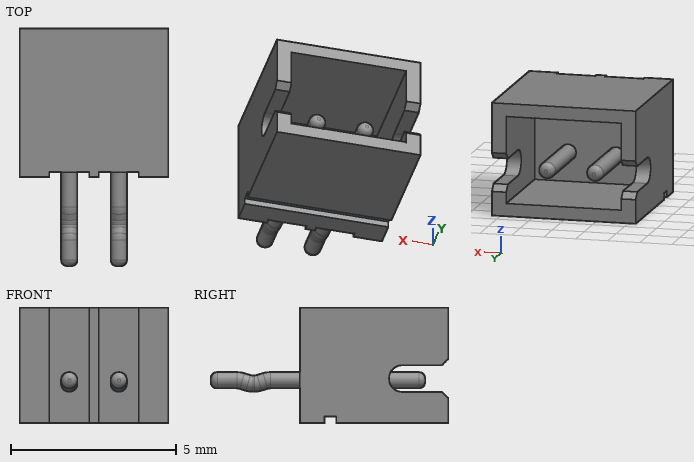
import cadquery as cq
import math


housing_width = 4.5
housing_depth = 4.5
housing_height = 3.5

side_wall = 0.45
floor_wall = 0.4
cavity_depth = 3.4

slot_height = 0.8
slot_depth = 1.8
slot_center_z = 1.35
slot_bevel = 0.2

recess_width = 1.2
recess_depth = 0.15

groove_width = 0.35
groove_depth = 0.2

pin_pitch = 1.5
pin_count = 2
pin_diameter = 0.5
pin_center_z = 1.3
pin_mouth_setback = 0.7
pin_tail_length = 2.7
pin_tip_radius = 0.2

kink_start = 0.9
kink_drop = 0.1
kink_flat = 0.05
kink_radius = 0.5
kink_angle = math.radians(17)

arc_run = kink_radius * math.sin(kink_angle)
arc_drop = kink_radius * (1 - math.cos(kink_angle))
half_arc_run = kink_radius * math.sin(kink_angle / 2)
half_arc_drop = kink_radius * (1 - math.cos(kink_angle / 2))
slant_drop = kink_drop - 2 * arc_drop
slant_run = slant_drop / math.tan(kink_angle)
ramp_run = 2 * arc_run + slant_run

pin_positions = [(i - (pin_count - 1) / 2) * pin_pitch for i in range(pin_count)]


def box(width, depth, height, y_min, z_min, x_center=0):
    """Block centred on x_center that starts at y_min and z_min."""
    return (
        cq.Workplane("XY")
        .box(width, depth, height, centered=(True, False, False))
        .translate((x_center, y_min, z_min))
    )


def make_slot():
    """Slot cutter that runs along X through the whole housing."""
    half_height = slot_height / 2
    slot_end_y = housing_depth - slot_depth
    arc_start_y = slot_end_y + half_height
    bevel_start_y = housing_depth - slot_bevel
    bottom_z = slot_center_z - half_height
    top_z = slot_center_z + half_height
    return (
        cq.Workplane("YZ")
        .moveTo(housing_depth, bottom_z - slot_bevel)
        .lineTo(bevel_start_y, bottom_z)
        .lineTo(arc_start_y, bottom_z)
        .threePointArc((slot_end_y, slot_center_z), (arc_start_y, top_z))
        .lineTo(bevel_start_y, top_z)
        .lineTo(housing_depth, top_z + slot_bevel)
        .close()
        .extrude(housing_width / 2, both=True)
    )


def make_pin_path():
    """Centre line from the mating tip, through the kink, to the tail tip."""
    ramp_start_y = -kink_start
    ramp_end_y = ramp_start_y - ramp_run
    low_z = pin_center_z - kink_drop
    rise_start_y = ramp_end_y - kink_flat
    rise_end_y = rise_start_y - ramp_run
    return (
        cq.Workplane("YZ")
        .moveTo(housing_depth - pin_mouth_setback, pin_center_z)
        .lineTo(ramp_start_y, pin_center_z)
        .threePointArc(
            (ramp_start_y - half_arc_run, pin_center_z - half_arc_drop),
            (ramp_start_y - arc_run, pin_center_z - arc_drop),
        )
        .lineTo(ramp_end_y + arc_run, low_z + arc_drop)
        .threePointArc((ramp_end_y + half_arc_run, low_z + half_arc_drop), (ramp_end_y, low_z))
        .lineTo(rise_start_y, low_z)
        .threePointArc(
            (rise_start_y - half_arc_run, low_z + half_arc_drop),
            (rise_start_y - arc_run, low_z + arc_drop),
        )
        .lineTo(rise_end_y + arc_run, pin_center_z - arc_drop)
        .threePointArc(
            (rise_end_y + half_arc_run, pin_center_z - half_arc_drop),
            (rise_end_y, pin_center_z),
        )
        .lineTo(-pin_tail_length, pin_center_z)
    )


def make_pin(x):
    """Kinked round pin with rounded tips, on the centre line at x."""
    mating_tip = (0, housing_depth - pin_mouth_setback, pin_center_z)
    return (
        cq.Workplane("XZ", origin=mating_tip)
        .circle(pin_diameter / 2)
        .sweep(make_pin_path())
        .faces("<Y or >Y")
        .edges()
        .fillet(pin_tip_radius)
        .translate((x, 0, 0))
    )


def make_housing():
    """Shrouded block with its cavity, slots, recesses, groove and pin holes."""
    body = box(housing_width, housing_depth, housing_height, 0, 0)
    cavity_y = housing_depth - cavity_depth
    cavity_width = housing_width - 2 * side_wall
    cavity_height = housing_height - 2 * floor_wall
    body = body.cut(box(cavity_width, cavity_depth, cavity_height, cavity_y, floor_wall))
    body = body.cut(make_slot())
    groove_y = cavity_y - groove_width
    body = body.cut(box(housing_width, groove_width, groove_depth, groove_y, 0))
    for x in pin_positions:
        body = body.cut(box(recess_width, recess_depth, housing_height, 0, 0, x))
        hole = (
            cq.Workplane("XZ", origin=(x, 0, pin_center_z))
            .circle(pin_diameter / 2)
            .extrude(-cavity_y)
        )
        body = body.cut(hole)
    return body


housing = make_housing()
pins = [make_pin(x) for x in pin_positions]

result = cq.Compound.makeCompound([housing.val(), *[pin.val() for pin in pins]])